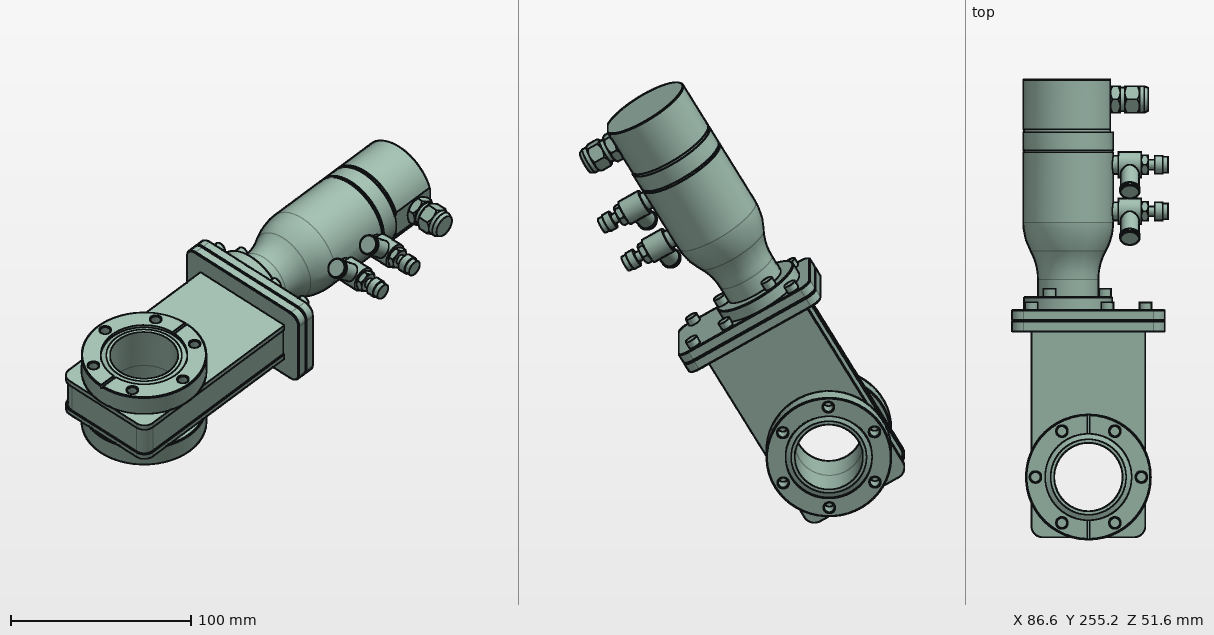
import cadquery as cq
import math


body_width = 63.3
body_thickness = 25.5
body_corner_radius = 6.5
cover_thickness = 3.3
core_inset = 0.8
body_front_y = -33.5

port_flange_radius = 34.7
port_flange_top_z = 25.8
port_flange_chamfer = 0.5
bore_radius = 19.0
recess_radius = 24.0
recess_depth = 1.8
sealing_edge_radius = 21.0
sealing_edge_depth = 0.5
port_bolt_circle_radius = 29.4
port_bolt_count = 6
port_hole_radius = 2.8
port_hole_chamfer = 0.5
port_hole_depth = 10.2
leak_groove_width = 1.5
leak_groove_depth = 1.5

bonnet_width = 84.8
bonnet_height = 50.3
bonnet_corner_radius = 6.5
bonnet_front_y = 80.5
bonnet_back_y = 92.7
bonnet_edge_chamfer = 0.5
bonnet_bolt_x = 31.7
bonnet_bolt_z = 20.0
bonnet_bolt_pitch = 2 * bonnet_bolt_x / 3
bonnet_bolt_head_height = 4.0

actuator_x = -11.2
actuator_radius = 25.0
neck_radius = 16.9
foot_radius = 24.5
foot_back_y = 99.8
foot_chamfer = 0.5
neck_end_y = 109.8
shoulder_start_y = 141.2
body_end_y = 180.0
ring_start_y = 181.3
ring_end_y = 191.3
cap_start_y = 192.8
cap_end_y = 220.5
joint_depth = 0.5
cap_chamfer = 0.5
cap_flat_x = 12.3
foot_bolt_circle_radius = 20.5
foot_bolt_count = 3
foot_bolt_head_height = 4.5
bolt_head_radius = 3.45

gland_y = 209.5
gland_half_flats = 7.5
gland_nut_start_x = 17.5
gland_nut_gap = 2.5
gland_cap_start_x = 28.3
gland_end_x = 33.2
gland_neck_radius = 6.6
gland_chamfer_width = 1.0
gland_chamfer_length = 2.3

fitting_ys = (147.3, 173.0)
fitting_body_x = 16.5
fitting_nut_x = 29.4
fitting_stem_x = 33.2
fitting_collar_x = 36.8
fitting_tip_x = 41.0
fitting_end_x = 44.2
fitting_stub_radius = 5.0
fitting_body_radius = 7.1
fitting_nut_half_flats = 5.4
fitting_stem_radius = 2.8
fitting_tip_radius = 4.47
branch_radius = 5.0
branch_cap_radius = 5.5
branch_length = 21.5
branch_cap_length = 2.5
branch_cap_chamfer = 0.8
branch_tilt = 45


def cylinder_x(radius, x_start, x_end, y):
    """Cylinder along X at height z = 0."""
    return cq.Workplane("YZ", origin=(x_start, y, 0)).circle(radius).extrude(x_end - x_start)


def hex_nut_x(half_flats, x_start, x_end, y):
    """Hexagonal nut along X, flats facing +Y and -Y, with its corners turned off at both ends."""
    corner_radius = half_flats / math.cos(math.pi / 6)
    corner_chamfer = corner_radius - half_flats
    nut = (
        cq.Workplane("YZ", origin=(x_start, y, 0))
        .transformed(rotate=(0, 0, 30))
        .polygon(6, 2 * corner_radius)
        .extrude(x_end - x_start)
    )
    turned = cylinder_x(corner_radius, x_start, x_end, y).edges().chamfer(corner_chamfer)
    return nut.intersect(turned)


def block(width, height, y_start, y_end):
    """Rectangular block centred on the Y axis."""
    middle = (0, (y_start + y_end) / 2, 0)
    return cq.Workplane("XY", origin=middle).box(width, y_end - y_start, height)


def bolt_heads(points, y_start, height):
    """Round bolt heads standing on a face at y_start; points are (x, z) pairs."""
    heads = cq.Workplane("XZ", origin=(0, y_start, 0)).pushPoints(points)
    return heads.circle(bolt_head_radius).extrude(-height)


def make_body():
    covers = block(body_width, body_thickness, body_front_y, bonnet_front_y)
    covers = covers.edges("|Z and <Y").fillet(body_corner_radius)
    core_height = body_thickness - 2 * cover_thickness
    covers = covers.cut(block(2 * body_width, core_height, 2 * body_front_y, bonnet_front_y))
    core = block(body_width - 2 * core_inset, core_height, body_front_y + core_inset, bonnet_front_y)
    core = core.edges("|Z and <Y").fillet(body_corner_radius)
    return covers.union(core)


def make_port_flange():
    """Upper pipe flange with a sealing recess and blind bolt holes."""
    base_z = body_thickness / 2
    flange = (
        cq.Workplane("XY", origin=(0, 0, base_z))
        .circle(port_flange_radius)
        .extrude(port_flange_top_z - base_z)
        .edges()
        .chamfer(port_flange_chamfer)
    )
    recess_profile = [
        (0, port_flange_top_z),
        (recess_radius, port_flange_top_z),
        (recess_radius, port_flange_top_z - recess_depth),
        (sealing_edge_radius, port_flange_top_z - sealing_edge_depth),
        (0, port_flange_top_z - sealing_edge_depth),
    ]
    recess = cq.Workplane("XZ").polyline(recess_profile).close().revolve(360, (0, 0), (0, 1))
    holes = (
        cq.Workplane("XY", origin=(0, 0, port_flange_top_z))
        .polarArray(port_bolt_circle_radius, 0, 360, port_bolt_count)
        .circle(port_hole_radius)
        .extrude(-port_hole_depth)
    )
    countersinks = (
        cq.Workplane("XY", origin=(0, 0, port_flange_top_z))
        .polarArray(port_bolt_circle_radius, 0, 360, port_bolt_count)
        .circle(port_hole_radius + port_hole_chamfer)
        .extrude(-port_hole_chamfer, taper=45)
    )
    return flange.cut(recess).cut(holes).cut(countersinks)


def make_leak_grooves():
    """Round-bottomed grooves across the upper flange face, from the recess to the rim."""
    radius = leak_groove_width / 2
    groove_length = 2 * port_flange_radius + leak_groove_width
    axis_z = port_flange_top_z - leak_groove_depth + radius
    groove = (
        cq.Workplane("XZ", origin=(0, groove_length / 2, axis_z))
        .moveTo(radius, 0)
        .threePointArc((0, -radius), (-radius, 0))
        .lineTo(-radius, leak_groove_depth)
        .lineTo(radius, leak_groove_depth)
        .close()
        .extrude(groove_length)
    )
    recess_core = cq.Workplane("XY").circle(recess_radius).extrude(2 * port_flange_top_z)
    return groove.cut(recess_core)


def make_bonnet():
    middle_y = (bonnet_front_y + bonnet_back_y) / 2
    bonnet = None
    for y_start, y_end in ((bonnet_front_y, middle_y), (middle_y, bonnet_back_y)):
        plate = block(bonnet_width, bonnet_height, y_start, y_end).edges("|Y").fillet(bonnet_corner_radius)
        plate = plate.faces("<Y or >Y").edges().chamfer(bonnet_edge_chamfer)
        bonnet = plate if bonnet is None else bonnet.union(plate)
    bolt_xs = (-bonnet_bolt_x, bonnet_bolt_pitch / 2, bonnet_bolt_x)
    points = [(x, side * bonnet_bolt_z) for x in bolt_xs for side in (-1, 1)]
    return bonnet.union(bolt_heads(points, bonnet_back_y, bonnet_bolt_head_height))


def make_actuator():
    rise = actuator_radius - neck_radius
    run = shoulder_start_y - neck_end_y
    middle = ((actuator_radius + neck_radius) / 2, (shoulder_start_y + neck_end_y) / 2)
    joint_radius = actuator_radius - joint_depth
    turned = (
        cq.Workplane("XY")
        .moveTo(0, bonnet_back_y)
        .lineTo(foot_radius, bonnet_back_y)
        .lineTo(foot_radius, foot_back_y - foot_chamfer)
        .lineTo(foot_radius - foot_chamfer, foot_back_y)
        .lineTo(neck_radius, foot_back_y)
        .lineTo(neck_radius, neck_end_y)
        .tangentArcPoint(middle, relative=False)
        .tangentArcPoint((rise / 2, run / 2))
        .lineTo(actuator_radius, body_end_y)
        .lineTo(joint_radius, body_end_y)
        .lineTo(joint_radius, ring_start_y)
        .lineTo(actuator_radius, ring_start_y)
        .lineTo(actuator_radius, ring_end_y)
        .lineTo(joint_radius, ring_end_y)
        .lineTo(joint_radius, cap_start_y)
        .lineTo(actuator_radius, cap_start_y)
        .lineTo(actuator_radius, cap_end_y - cap_chamfer)
        .lineTo(actuator_radius - cap_chamfer, cap_end_y)
        .lineTo(0, cap_end_y)
        .close()
        .revolve(360, (0, 0), (0, 1))
        .translate((actuator_x, 0, 0))
    )
    flat_cut = block(actuator_radius, 2 * actuator_radius, ring_end_y, cap_end_y)
    turned = turned.cut(flat_cut.translate((cap_flat_x + actuator_radius / 2, 0, 0)))
    points = []
    for index in range(foot_bolt_count):
        angle = 2 * math.pi * index / foot_bolt_count
        x = actuator_x + foot_bolt_circle_radius * math.cos(angle)
        points.append((x, foot_bolt_circle_radius * math.sin(angle)))
    return turned.union(bolt_heads(points, foot_back_y, foot_bolt_head_height))


def make_gland():
    cap_shoulder_x = gland_end_x - gland_chamfer_length
    cap = (
        cylinder_x(gland_half_flats, gland_cap_start_x, cap_shoulder_x, gland_y)
        .faces(">X")
        .workplane()
        .circle(gland_half_flats)
        .workplane(offset=gland_chamfer_length)
        .circle(gland_half_flats - gland_chamfer_width)
        .loft()
    )
    return (
        hex_nut_x(gland_half_flats, cap_flat_x, gland_nut_start_x, gland_y)
        .union(cylinder_x(gland_neck_radius, cap_flat_x, gland_cap_start_x, gland_y))
        .union(hex_nut_x(gland_half_flats, gland_nut_start_x + gland_nut_gap, gland_cap_start_x, gland_y))
        .union(cap)
    )


def make_fitting(y):
    """Air fitting along X with a capped branch tilted between -Y and +Z."""
    branch = cq.Workplane("XY").circle(branch_radius).extrude(branch_length)
    branch_cap = (
        cq.Workplane("XY", origin=(0, 0, branch_length - branch_cap_length))
        .circle(branch_cap_radius)
        .extrude(branch_cap_length)
        .faces(">Z")
        .edges()
        .chamfer(branch_cap_chamfer)
    )
    branch_x = (fitting_body_x + fitting_nut_x) / 2
    branch = branch.union(branch_cap).rotate((0, 0, 0), (1, 0, 0), branch_tilt).translate((branch_x, y, 0))
    return (
        cylinder_x(fitting_stub_radius, actuator_x, fitting_body_x, y)
        .union(cylinder_x(fitting_body_radius, fitting_body_x, fitting_nut_x, y))
        .union(hex_nut_x(fitting_nut_half_flats, fitting_nut_x, fitting_stem_x, y))
        .union(cylinder_x(fitting_stem_radius, fitting_stem_x, fitting_collar_x, y))
        .union(cylinder_x(fitting_stub_radius, fitting_collar_x, fitting_tip_x, y))
        .union(cylinder_x(fitting_tip_radius, fitting_tip_x, fitting_end_x, y))
        .union(branch)
    )


upper_flange = make_port_flange()
result = make_body().union(upper_flange).union(upper_flange.mirror("XY")).cut(make_leak_grooves())
bore = cq.Workplane("XY").circle(bore_radius).extrude(port_flange_top_z, both=True)
result = result.cut(bore)
result = result.union(make_bonnet()).union(make_actuator()).union(make_gland())
for fitting_y in fitting_ys:
    result = result.union(make_fitting(fitting_y))